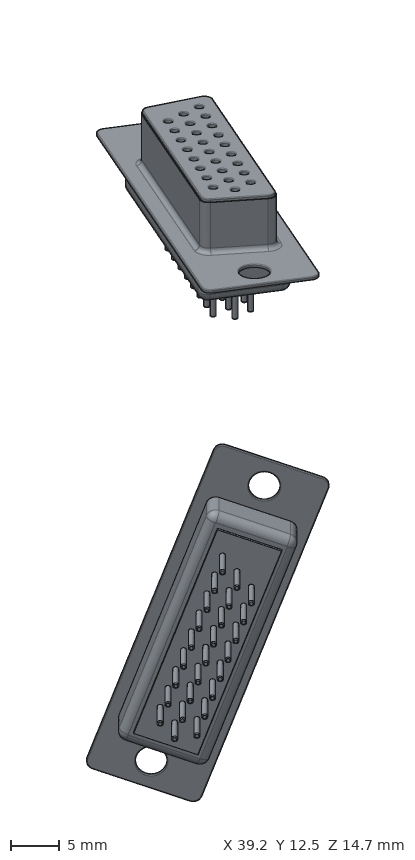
import cadquery as cq
import math

EDGE_FILLET = 0.098

FLANGE_LENGTH = 39.2
FLANGE_WIDTH = 12.5
FLANGE_THICKNESS = 0.4
FLANGE_CORNER_RADIUS = 0.98
MOUNT_HOLE_DIAMETER = 3.2
MOUNT_HOLE_SPACING = 33.32

SHELL_HEIGHT = 5.72
SHELL_DEPTH = 7.9
SHELL_MEAN_LENGTH = 23.5
SHELL_SIDE_ANGLE = 8.0
SHELL_CORNER_RADIUS = 1.0
SHELL_BASE_FILLET = 0.55

INSULATOR_INSET = 0.1
INSULATOR_RISE = 0.35

BODY_LENGTH = 27.7
BODY_WIDTH = 9.8
BODY_HEIGHT = 4.0
BODY_CORNER_RADIUS = 1.0
BODY_BOTTOM_FILLET = 0.98
STEP_LENGTH = 24.7
STEP_WIDTH = 7.0
STEP_HEIGHT = 0.35

CONTACT_SPAN = 19.5
STAGGERS_IN_SPAN = 17
ROW_SPACING = 2.0
SOCKET_DIAMETER = 0.85
SOCKET_DEPTH = 3.92
PIN_DIAMETER = 0.63
PIN_LENGTH = 3.9
PIN_TIP_CHAMFER = 0.1

CONTACT_ROWS = [(9, -8.5), (9, -7.5), (8, -6.5)]

CONTACT_STAGGER = CONTACT_SPAN / STAGGERS_IN_SPAN
SHELL_TOP = FLANGE_THICKNESS + SHELL_HEIGHT
INSULATOR_TOP = SHELL_TOP + INSULATOR_RISE
STEP_BOTTOM = -BODY_HEIGHT - STEP_HEIGHT


def contact_points():
    points = []
    for row, (count, first) in enumerate(CONTACT_ROWS):
        y = (1 - row) * ROW_SPACING
        for index in range(count):
            points.append(((first + 2 * index) * CONTACT_STAGGER, y))
    return points


def flange_plate():
    plate = cq.Workplane("XY").rect(FLANGE_LENGTH, FLANGE_WIDTH).extrude(FLANGE_THICKNESS)
    plate = plate.edges("|Z").fillet(FLANGE_CORNER_RADIUS)
    holes = (
        cq.Workplane("XY")
        .rarray(MOUNT_HOLE_SPACING, 0.4, 2, 1)
        .circle(MOUNT_HOLE_DIAMETER / 2)
        .extrude(FLANGE_THICKNESS)
    )
    return plate.cut(holes).faces("|Z").edges().fillet(EDGE_FILLET)


def shell():
    taper = SHELL_DEPTH / 2 * math.tan(math.radians(SHELL_SIDE_ANGLE))
    half_back = SHELL_MEAN_LENGTH / 2 + taper
    half_front = SHELL_MEAN_LENGTH / 2 - taper
    half_depth = SHELL_DEPTH / 2
    outline = [
        (-half_front, -half_depth),
        (half_front, -half_depth),
        (half_back, half_depth),
        (-half_back, half_depth),
    ]
    block = cq.Workplane("XY").polyline(outline).close().extrude(SHELL_TOP)
    return block.edges("|Z").fillet(SHELL_CORNER_RADIUS)


def insulator():
    rim = shell().faces(">Z").wires()
    block = rim.toPending().offset2D(-INSULATOR_INSET).extrude(INSULATOR_RISE, combine=False)
    return block.faces(">Z").edges().fillet(EDGE_FILLET)


def flanged_shell():
    joined = flange_plate().union(shell())
    flange_top = joined.faces("|Z").faces(">Z[1]").val()
    foot = max(flange_top.innerWires(), key=lambda loop: loop.Length())
    return joined.newObject(foot.Edges()).fillet(SHELL_BASE_FILLET)


def rear_body():
    body = cq.Workplane("XY").rect(BODY_LENGTH, BODY_WIDTH).extrude(-BODY_HEIGHT)
    body = body.edges("|Z").fillet(BODY_CORNER_RADIUS)
    body = body.faces("<Z").edges().fillet(BODY_BOTTOM_FILLET)
    step = cq.Workplane("XY").rect(STEP_LENGTH, STEP_WIDTH).extrude(STEP_BOTTOM)
    return body.union(step)


def pins():
    rods = (
        cq.Workplane("XY", origin=(0, 0, STEP_BOTTOM))
        .pushPoints(contact_points())
        .circle(PIN_DIAMETER / 2)
        .extrude(-PIN_LENGTH)
    )
    return rods.faces("<Z").edges().chamfer(PIN_TIP_CHAMFER)


def socket_hole():
    """Blind hole whose mouth flares out through a quarter round."""
    radius = SOCKET_DIAMETER / 2
    mouth_mid = EDGE_FILLET * (1 - math.sqrt(0.5))
    return (
        cq.Workplane("XZ")
        .moveTo(0, -SOCKET_DEPTH)
        .lineTo(radius, -SOCKET_DEPTH)
        .lineTo(radius, -EDGE_FILLET)
        .threePointArc((radius + mouth_mid, -mouth_mid), (radius + EDGE_FILLET, 0))
        .lineTo(0, 0)
        .close()
        .revolve(360, (0, 0, 0), (0, 1, 0))
        .val()
    )


def socket_holes():
    return (
        cq.Workplane("XY", origin=(0, 0, INSULATOR_TOP))
        .pushPoints(contact_points())
        .eachpoint(socket_hole(), useLocalCoordinates=True)
    )


result = (
    flanged_shell()
    .union(insulator())
    .union(rear_body())
    .union(pins())
    .cut(socket_holes())
)